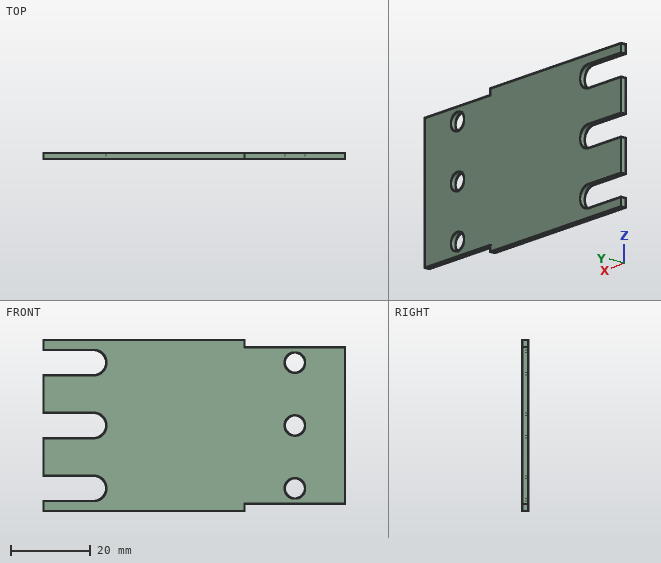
import cadquery as cq

length = 76.2
height = 43.18
thickness = 1.5875

tongue_length = 25.4
tongue_height = 39.624

row_count = 3
row_pitch = 15.875
slot_width = 6.35
slot_depth = 15.875
hole_diameter = 5.08
hole_edge_distance = 12.7

left_edge = -length / 2
right_edge = length / 2
row_heights = [(row - (row_count - 1) / 2) * row_pitch for row in range(row_count)]


def extrude_through(sketch):
    """Extrude an XZ sketch symmetrically to the plate thickness."""
    return sketch.extrude(thickness / 2, both=True)


def make_plate():
    """Full-height body with the narrower tongue joined to its +X end."""
    body_length = length - tongue_length
    body = extrude_through(
        cq.Workplane("XZ").center(left_edge + body_length / 2, 0).rect(body_length, height)
    )
    tongue = extrude_through(
        cq.Workplane("XZ").center(right_edge - tongue_length / 2, 0).rect(tongue_length, tongue_height)
    )
    return body.union(tongue)


def make_slots():
    """Round-ended cutters centred on the -X edge, so half of each opens the edge."""
    slot_centers = [(left_edge, z) for z in row_heights]
    return extrude_through(
        cq.Workplane("XZ").pushPoints(slot_centers).slot2D(2 * slot_depth, slot_width)
    )


def make_holes():
    """Round through-hole cutters in the tongue."""
    hole_centers = [(right_edge - hole_edge_distance, z) for z in row_heights]
    return extrude_through(
        cq.Workplane("XZ").pushPoints(hole_centers).circle(hole_diameter / 2)
    )


result = make_plate().cut(make_slots()).cut(make_holes())